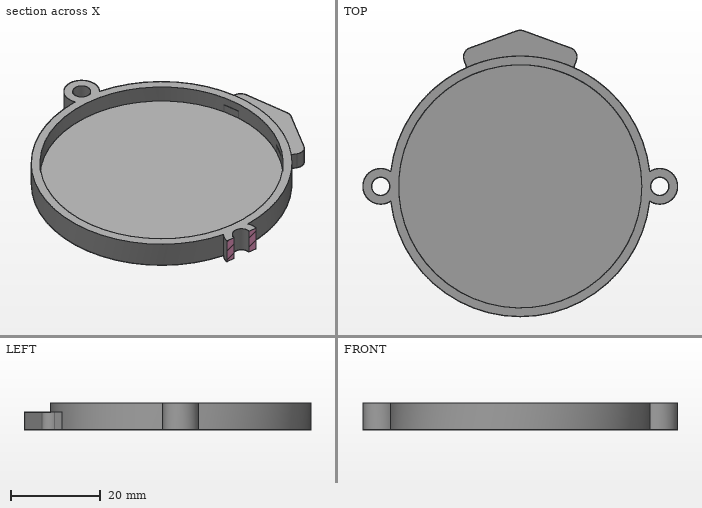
import cadquery as cq
import math

overall_length = 70.0
tray_height = 6.0
rim_width = 1.95
floor_thickness = 2.0

lug_radius = 4.0
hole_diameter = 4.0
lug_offset = overall_length / 2 - lug_radius
pocket_radius = lug_offset - lug_radius
tray_radius = pocket_radius + rim_width

bracket_height = 4.0
bracket_tip_y = 34.7
arm_half_width = 2.2
leg_angle = 20.0
leg_inner_end = 26.95


def make_lug(side):
    return cq.Workplane("XY").center(side * lug_offset, 0).circle(lug_radius).extrude(tray_height)


def make_bracket():
    """Solid chevron with rounded outer corners, filled inward to the rim."""
    angle = math.radians(leg_angle)
    tip_centre_y = bracket_tip_y - arm_half_width
    outer_distance = tip_centre_y * math.cos(angle) + arm_half_width
    sharp_tip_y = outer_distance / math.cos(angle)

    def beside_leg(distance):
        """Point on the outer side of the +X leg, at a distance along the leg."""
        x = distance * math.sin(angle) + arm_half_width * math.cos(angle)
        y = distance * math.cos(angle) - arm_half_width * math.sin(angle)
        return x, y

    corner_x, corner_y = beside_leg(outer_distance)
    root_x, root_y = beside_leg(leg_inner_end)
    outline = [
        (root_x, root_y),
        (corner_x, corner_y),
        (0, sharp_tip_y),
        (-corner_x, corner_y),
        (-root_x, root_y),
    ]
    bracket = cq.Workplane("XY").polyline(outline).close().extrude(bracket_height)
    outer_corners = cq.selectors.BoxSelector(
        (-overall_length, corner_y - arm_half_width, -tray_height),
        (overall_length, sharp_tip_y + arm_half_width, tray_height),
    )
    return bracket.edges("|Z").edges(outer_corners).fillet(arm_half_width)


def make_leg(side):
    """Leg with a flat inner end that stands slightly proud of the pocket wall."""
    leg_length = tray_radius - leg_inner_end
    leg = (
        cq.Workplane("XY")
        .center(0, leg_inner_end + leg_length / 2)
        .rect(2 * arm_half_width, leg_length)
        .extrude(bracket_height)
    )
    return leg.rotate((0, 0, 0), (0, 0, 1), -side * leg_angle)


tray = cq.Workplane("XY").circle(tray_radius).extrude(tray_height)
pocket = cq.Workplane("XY").workplane(offset=floor_thickness).circle(pocket_radius).extrude(tray_height)
holes = (
    cq.Workplane("XY")
    .pushPoints([(-lug_offset, 0), (lug_offset, 0)])
    .circle(hole_diameter / 2)
    .extrude(tray_height)
)

result = tray.union(make_bracket())
for side in (-1, 1):
    result = result.union(make_lug(side))
result = result.cut(pocket).cut(holes)
for side in (-1, 1):
    result = result.union(make_leg(side))